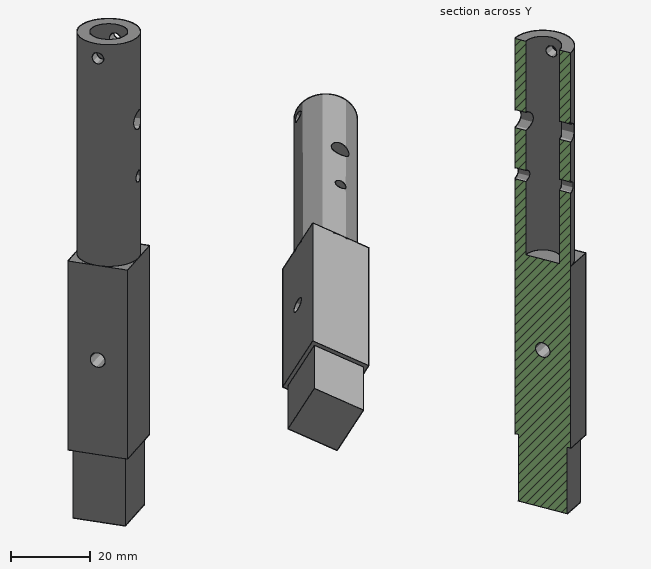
import cadquery as cq

total_height = 132.0
body_width = 16.0
body_height = 52.0
tail_width = 14.0
tail_height = 19.0
bore_diameter = 9.5

pin_hole_diameter = 3.0
top_pin_drop = 4.0
lower_pin_drop = 38.5
side_hole_diameter = 5.0
side_hole_drop = 23.0
body_hole_diameter = 4.0

body_top = tail_height + body_height
body_middle = tail_height + body_height / 2
shaft_height = total_height - body_top
bore_depth = shaft_height


def square_bar(width, height, bottom):
    return cq.Workplane("XY").workplane(offset=bottom).rect(width, width).extrude(height)


def cross_hole(plane, diameter, height):
    """Cylinder through the full width, centred on the axis at the given height."""
    return (
        cq.Workplane(plane)
        .center(0, height)
        .circle(diameter / 2)
        .extrude(body_width, both=True)
    )


tail = square_bar(tail_width, tail_height, 0)
body = square_bar(body_width, body_height, tail_height)
shaft = cq.Workplane("XY").workplane(offset=body_top).circle(body_width / 2).extrude(shaft_height)
result = tail.union(body).union(shaft)

bore = (
    cq.Workplane("XY")
    .workplane(offset=total_height - bore_depth)
    .circle(bore_diameter / 2)
    .extrude(bore_depth)
)
result = result.cut(bore)

result = result.cut(cross_hole("XZ", pin_hole_diameter, total_height - top_pin_drop))
result = result.cut(cross_hole("XZ", body_hole_diameter, body_middle))

result = result.cut(cross_hole("YZ", side_hole_diameter, total_height - side_hole_drop))
result = result.cut(cross_hole("YZ", pin_hole_diameter, total_height - lower_pin_drop))